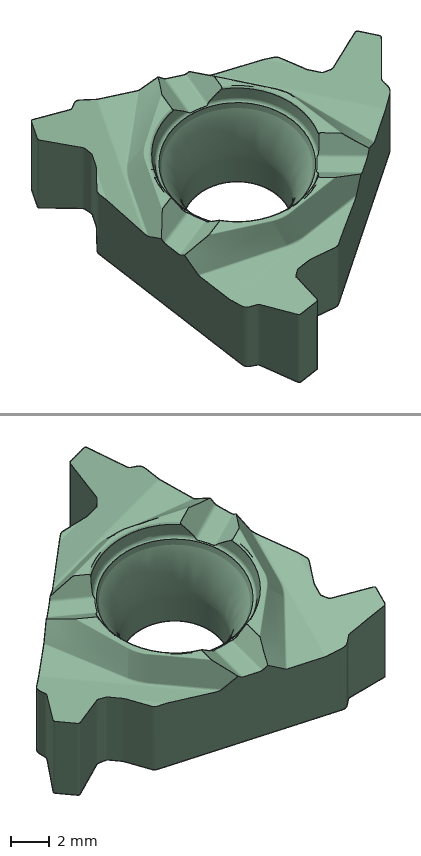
import cadquery as cq
import math

height = 5.84
corner_count = 3
corner_step = 360.0 / corner_count
side_distance = 6.37
reach = 13.19

tooth_tip_y = -9.6
tooth_outline = [
    (-side_distance, -6.9, 0.45),
    (-5.77, -7.27, 0.26),
    (-5.15, tooth_tip_y, 0.15),
    (-3.79, tooth_tip_y, 0.15),
    (-3.13, -7.33, 0.26),
    (-2.68, -7.03, 0.15),
    (-1.83, -7.03, 0.57),
    (-0.15, -7.45, 0.41),
]

floor_z = 4.58
wall_reach = 7.54
wall_foot = [(-wall_reach, -3.05), (-1.25, -5.6), (wall_reach, -5.6)]
wall_top = [(-wall_reach, -1.17), (-1.38, -4.67), (wall_reach, -4.67)]
wall_bend_trim = 0.57
wall_foot_radius = 0.11
wall_crest_radius = 0.05
crest_reach = 5.84
ramp_start_y = -5.75
ramp_angle = math.radians(15.0)
ramp_bend_radius = 0.43

heel_start_x = -1.88
heel_end_x = 1.5
heel_start_y = -7.08

groove_floor_z = 5.07
groove_floor_width = 1.05
groove_top_width = 2.94
groove_foot_radius = 0.28
groove_angle = 14.0

bore_radius = 5.7 / 2
flare_start_z = 1.98
flare_end_radius = 3.9
flare_end_z = 4.75
rim_radius = 4.03
rim_z = 5.05
seat_wall_start = (4.24, 5.22)
seat_wall_end = (4.4, 5.78)
seat_foot_radius = 0.23
seat_top_radius = 4.55
seat_edge_radius = 0.19


def turned(point, degrees):
    """The point turned about the bore axis."""
    angle = math.radians(degrees)
    x, y = point
    return (x * math.cos(angle) - y * math.sin(angle), x * math.sin(angle) + y * math.cos(angle))


def toward(start, end, distance):
    """The point at the given distance from start on the line to end."""
    share = distance / math.dist(start, end)
    return (start[0] + share * (end[0] - start[0]), start[1] + share * (end[1] - start[1]))


def corner_trim(before, corner, after, radius):
    """Length that a corner rounding takes from each of its two sides."""
    heading_in = math.atan2(corner[1] - before[1], corner[0] - before[0])
    heading_out = math.atan2(after[1] - corner[1], after[0] - corner[0])
    turn = math.remainder(heading_out - heading_in, 2 * math.pi)
    return radius * math.tan(abs(turn) / 2)


def make_blank():
    """Full-height prism with a tooth at each corner."""
    corners = []
    radii = []
    for i in range(corner_count):
        for x, y, radius in tooth_outline:
            corners.append(turned((x, y), i * corner_step))
            radii.append(radius)

    start = toward(corners[-1], corners[0], side_distance)
    outline = cq.Workplane("XY").moveTo(*start)
    for i, corner in enumerate(corners):
        before = corners[i - 1]
        after = corners[(i + 1) % len(corners)]
        trim = corner_trim(before, corner, after, radii[i])
        outline = outline.lineTo(*toward(corner, before, trim))
        outline = outline.tangentArcPoint(toward(corner, after, trim), relative=False)
    return outline.close().extrude(height)


def draw_flute_section(plane, wall, outer_y):
    """Flute area between its bent wall and the straight line y = outer_y."""
    start, bend, end = wall
    return (
        plane.moveTo(*start)
        .lineTo(*toward(bend, start, wall_bend_trim))
        .tangentArcPoint(toward(bend, end, wall_bend_trim), relative=False)
        .lineTo(*end)
        .lineTo(end[0], outer_y)
        .lineTo(start[0], outer_y)
        .close()
    )


def make_ramp():
    """Sloping ground left standing in the flute, with the heel cut flat."""
    half_angle = ramp_angle / 2
    bend_trim = ramp_bend_radius * math.tan(half_angle)
    rise = (reach + ramp_start_y) * math.tan(ramp_angle)
    flat_end_y = ramp_start_y + bend_trim
    bend = (ramp_start_y, floor_z)
    outer = (-reach, floor_z + rise)
    bend_middle = (
        flat_end_y - ramp_bend_radius * math.sin(half_angle),
        floor_z + ramp_bend_radius * (1 - math.cos(half_angle)),
    )
    ramp = (
        cq.Workplane("YZ", origin=(-reach, 0, 0))
        .moveTo(flat_end_y, floor_z)
        .threePointArc(bend_middle, toward(bend, outer, bend_trim))
        .lineTo(*outer)
        .lineTo(-reach, 0)
        .lineTo(flat_end_y, 0)
        .close()
        .extrude(2 * reach)
    )
    heel_z = floor_z + (ramp_start_y - heel_start_y) * math.tan(ramp_angle)
    heel = (
        cq.Workplane("XY", origin=(0, 0, heel_z))
        .moveTo(heel_start_x, heel_start_y)
        .rect(heel_end_x - heel_start_x, -reach - heel_start_y, centered=False)
        .extrude(height)
    )
    return ramp.cut(heel)


def make_flute():
    """Cutter for one flute, hollowed where the ramp stays."""
    floor_plane = cq.Workplane("XY", origin=(0, 0, floor_z))
    foot = draw_flute_section(floor_plane, wall_foot, -reach)
    top_plane = foot.workplane(offset=height - floor_z)
    flute = draw_flute_section(top_plane, wall_top, -reach).loft(ruled=True)
    wall_foot_zone = cq.selectors.BoxSelector(
        (-wall_reach, ramp_start_y, 0), (wall_reach, 0, (floor_z + height) / 2))
    flute = flute.edges(wall_foot_zone).fillet(wall_foot_radius)
    return flute.cut(make_ramp())


def make_groove():
    """Cutter for one groove, widening upward, with rounded floor edges."""
    half_floor = groove_floor_width / 2
    half_top = groove_top_width / 2
    return (
        cq.Workplane("YZ", origin=(-reach, 0, 0))
        .moveTo(-half_floor, groove_floor_z)
        .lineTo(half_floor, groove_floor_z)
        .lineTo(half_top, height)
        .lineTo(-half_top, height)
        .close()
        .extrude(reach)
        .faces("<Z").edges("|X").fillet(groove_foot_radius)
        .rotate((0, 0, 0), (0, 0, 1), groove_angle)
    )


def make_bore():
    """Cutter for the bore, its flare and the seat above the rim."""
    flare_width = flare_end_radius - bore_radius
    flare_height = flare_end_z - flare_start_z
    flare_radius = (flare_width ** 2 + flare_height ** 2) / (2 * flare_width)
    return (
        cq.Workplane("XZ")
        .lineTo(bore_radius, 0)
        .lineTo(bore_radius, flare_start_z)
        .radiusArc((flare_end_radius, flare_end_z), flare_radius)
        .lineTo(rim_radius, rim_z)
        .radiusArc(seat_wall_start, -seat_foot_radius)
        .lineTo(*seat_wall_end)
        .radiusArc((seat_top_radius, height), seat_edge_radius)
        .lineTo(0, height)
        .close()
        .revolve(360, (0, 0, 0), (0, 1, 0))
    )


def cut_at_corners(body, cutter):
    """Cut the same shape at every corner."""
    for i in range(corner_count):
        body = body.cut(cutter.rotate((0, 0, 0), (0, 0, 1), i * corner_step))
    return body


def round_wall_crests(body):
    """Round the top edges of the flute walls, not the edges on the long sides."""
    def is_crest(edge):
        center = edge.Center()
        return math.hypot(center.x, center.y) < crest_reach
    return body.faces(">Z").edges().filter(is_crest).fillet(wall_crest_radius)


result = cut_at_corners(make_blank(), make_flute())
result = round_wall_crests(result)
result = cut_at_corners(result, make_groove())
result = result.cut(make_bore())